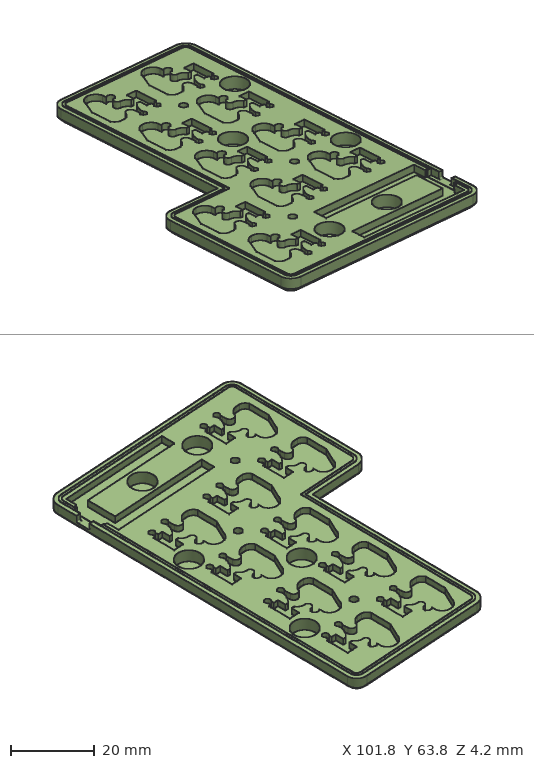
import cadquery as cq
PITCH = 19.0
COLUMNS = 5
ROWS = 3
LEG_FIRST_COLUMN = 3
LENGTH = 101.8
WIDTH = 63.8
MARGIN = (LENGTH - COLUMNS * PITCH) / 2

HEIGHT = 4.2
RIM_STEP = 0.1
PLATE_TOP = HEIGHT - RIM_STEP
SHOULDER_WIDTH = 1.2
RIM_WIDTH = 0.76
BOTTOM_CHAMFER = 1.2

SOCKET_DEPTH = 1.8
SOCKET_SHIFT = 0.05
PAD_RADIUS = 0.87
TAB_HALF_WIDTH = 0.5

SCREW_DIAMETER = 2.2
MAGNET_DIAMETER = 7.2
MAGNET_DEPTH = 3.5
MAGNET_SHIFT_X = 0.97
MAGNET_DROP_Y = 3.0
BOARD_MAGNET_RISE = 2.0

BOARD_X = 90.0
BOARD_WIDTH = 17.2
BOARD_BOTTOM = 27.6
BOARD_TOP = 60.8
BOARD_FLOOR = 2.0
ISLAND_WIDTH = 9.0
ISLAND_TOP = 57.6

CONNECTOR_X = 90.2
CONNECTOR_WIDTH = 10.1
CONNECTOR_TOP = 61.4
SHELF_WIDTH = 9.0
SHELF_TOP = 62.5
SHELF_FLOOR = 2.1
PORT_WIDTH = 4.3
PORT_FILLET = 0.4


def grid_x(column):
    return MARGIN + column * PITCH


def grid_y(row):
    return MARGIN + row * PITCH


def outline(z, inset):
    """L-shaped key area, grown so that it ends the given inset from the outer side."""
    left, right = MARGIN, LENGTH - MARGIN
    bottom, top = MARGIN, WIDTH - MARGIN
    area = [
        (left, grid_y(1)),
        (grid_x(LEG_FIRST_COLUMN), grid_y(1)),
        (grid_x(LEG_FIRST_COLUMN), bottom),
        (right, bottom),
        (right, top),
        (left, top),
    ]
    return cq.Workplane("XY", origin=(0, 0, z)).polyline(area).close().offset2D(MARGIN - inset, "arc")


def box(width, x_center, y_low, y_high, z_low):
    """Cutting block, open upward."""
    return (
        cq.Workplane("XY", origin=(x_center, (y_low + y_high) / 2, z_low))
        .rect(width, y_high - y_low)
        .extrude(HEIGHT)
    )


def make_tray():
    body = outline(0, 0).extrude(PLATE_TOP).faces("<Z").chamfer(BOTTOM_CHAMFER)
    rim = outline(PLATE_TOP, SHOULDER_WIDTH).extrude(RIM_STEP)
    rim = rim.cut(outline(PLATE_TOP, SHOULDER_WIDTH + RIM_WIDTH).extrude(RIM_STEP))
    return body.union(rim)


def make_socket():
    """Recess for one hot-swap socket, around the center of its key."""
    floor = PLATE_TOP - SOCKET_DEPTH
    body = (
        cq.Workplane("XY", origin=(0, 0, floor))
        .moveTo(-3.6, 3.3)
        .lineTo(-3.6, 6.4)
        .lineTo(3.4, 6.4)
        .lineTo(3.4, 3.3)
        .lineTo(0.9, 3.3)
        .lineTo(0.9, 2.3)
        .threePointArc((2.2, 1.2), (4.2, 0.5))
        .lineTo(4.2, -0.5)
        .lineTo(3.1, -0.6)
        .threePointArc((1.8, -1.8), (2.3, -3.0))
        .threePointArc((3.8, -3.9), (4.5, -5.4))
        .lineTo(4.5, -6.7)
        .threePointArc((4.1, -7.7), (3.0, -8.6))
        .lineTo(-3.4, -8.6)
        .lineTo(-7.4, -6.6)
        .threePointArc((-9.1, -5.6), (-9.7, -4.1))
        .threePointArc((-9.3, -2.2), (-7.5, -1.0))
        .lineTo(-6.1, -1.0)
        .threePointArc((-6.3, 0.5), (-5.6, 0.9))
        .threePointArc((-4.8, 0.6), (-4.5, 0.0))
        .threePointArc((-3.5, -1.0), (-2.4, 0.0))
        .threePointArc((-2.1, 1.3), (-1.1, 2.3))
        .lineTo(-1.1, 3.3)
        .close()
        .extrude(HEIGHT)
    )
    for start_x, pad_x, pad_y in ((3.2, 4.94, 5.2), (4.1, 5.6, 0.0)):
        tab = box(pad_x - start_x, (start_x + pad_x) / 2, pad_y - TAB_HALF_WIDTH, pad_y + TAB_HALF_WIDTH, floor)
        pad = cq.Workplane("XY", origin=(pad_x, pad_y, floor)).circle(PAD_RADIUS).extrude(HEIGHT)
        body = body.union(tab).union(pad)
    return body


def cut_sockets(part):
    socket = make_socket()
    for row in range(ROWS):
        columns = range(LEG_FIRST_COLUMN, COLUMNS) if row == 0 else range(COLUMNS - 1)
        for column in columns:
            center = (grid_x(column + 0.5) + SOCKET_SHIFT, grid_y(row + 0.5) - SOCKET_SHIFT, 0)
            part = part.cut(socket.translate(center))
    return part


def cut_board_pocket(part):
    pocket = box(BOARD_WIDTH, BOARD_X, BOARD_BOTTOM, BOARD_TOP, BOARD_FLOOR)
    pocket = pocket.cut(box(ISLAND_WIDTH, BOARD_X, BOARD_BOTTOM, ISLAND_TOP, BOARD_FLOOR))
    part = part.cut(pocket)
    part = part.cut(box(CONNECTOR_WIDTH, CONNECTOR_X, ISLAND_TOP, CONNECTOR_TOP, BOARD_FLOOR))
    part = part.cut(box(SHELF_WIDTH, BOARD_X, ISLAND_TOP, SHELF_TOP, SHELF_FLOOR))
    port = box(PORT_WIDTH, CONNECTOR_X, ISLAND_TOP, WIDTH + MARGIN, SHELF_FLOOR)
    return part.cut(port.faces("<Z").edges("|Y").fillet(PORT_FILLET))


def cut_round_holes(part):
    screws = [
        (grid_x(1), grid_y(2)),
        (grid_x(3), grid_y(2)),
        (grid_x(4), grid_y(1)),
    ]
    magnets = [
        (grid_x(column) + MAGNET_SHIFT_X, grid_y(row) - MAGNET_DROP_Y)
        for column, row in ((1, 3), (2, 2), (3, 3))
    ]
    magnets += [(BOARD_X, grid_y(row) + BOARD_MAGNET_RISE) for row in (1, 2)]
    drill = cq.Workplane("XY").pushPoints(screws).circle(SCREW_DIAMETER / 2).extrude(HEIGHT)
    bores = (
        cq.Workplane("XY", origin=(0, 0, PLATE_TOP - MAGNET_DEPTH))
        .pushPoints(magnets)
        .circle(MAGNET_DIAMETER / 2)
        .extrude(HEIGHT)
    )
    return part.cut(drill).cut(bores)


result = cut_round_holes(cut_board_pocket(cut_sockets(make_tray())))